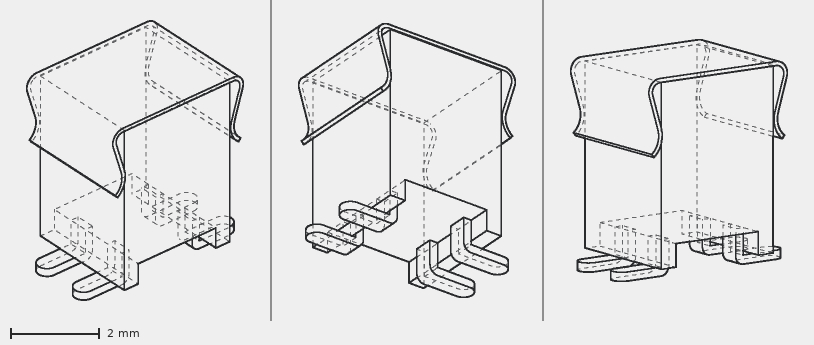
import cadquery as cq
import math

OVERALL_LENGTH = 4.6
OVERALL_HEIGHT = 4.7

CLIP_WIDTH = 3.0
SHEET = 0.1
SHOULDER_RADIUS = 0.3
SHOULDER_Y = 1.62
CONTACT_RADIUS = 0.6
CONTACT_Z = 3.38
LIP_ANGLE = math.radians(52)

HOUSING_WIDTH = 2.938
HOUSING_LENGTH = 3.1
HOUSING_BOTTOM = 0.305
HOUSING_TOP = OVERALL_HEIGHT - SHEET
CHANNEL_LENGTH = 2.285
CHANNEL_CEILING = 0.845

LEAD_WIDTH = 0.5
LEAD_THICKNESS = 0.21
LEAD_PITCH = 1.275
LEAD_BEND_RADIUS = 0.21


def make_housing():
    """Block with a channel along X that leaves a foot rail on each Y side."""
    height = HOUSING_TOP - HOUSING_BOTTOM
    block = (
        cq.Workplane("XY", origin=(0, 0, HOUSING_BOTTOM))
        .box(HOUSING_WIDTH, HOUSING_LENGTH, height, centered=(True, True, False))
    )
    channel = (
        cq.Workplane("XY", origin=(0, 0, HOUSING_BOTTOM))
        .box(HOUSING_WIDTH, CHANNEL_LENGTH, CHANNEL_CEILING - HOUSING_BOTTOM, centered=(True, True, False))
    )
    return block.cut(channel)


def polar(center, radius, angle):
    """Point in the YZ plane at a distance and an angle (from +Y) around a centre."""
    return (center[0] + radius * math.cos(angle), center[1] + radius * math.sin(angle))


def make_clip():
    """Flat top with a springy arm on each Y side: shoulder bend, slanted arm, curled lip."""
    shoulder = (SHOULDER_Y, OVERALL_HEIGHT - SHOULDER_RADIUS)
    curl = (HOUSING_LENGTH / 2 + CONTACT_RADIUS, CONTACT_Z)
    shoulder_inner = SHOULDER_RADIUS - SHEET
    curl_inner = CONTACT_RADIUS - SHEET

    run = curl[0] - shoulder[0]
    drop = shoulder[1] - curl[1]
    lean = math.atan2(drop, run) - math.acos((SHOULDER_RADIUS + curl_inner) / math.hypot(run, drop))

    shoulder_end = -lean
    shoulder_middle = (math.pi / 2 + shoulder_end) / 2
    curl_start = math.pi - lean
    curl_end = math.pi + LIP_ANGLE
    curl_middle = (curl_start + curl_end) / 2

    half = (
        cq.Workplane("YZ")
        .moveTo(0, OVERALL_HEIGHT)
        .lineTo(SHOULDER_Y, OVERALL_HEIGHT)
        .threePointArc(
            polar(shoulder, SHOULDER_RADIUS, shoulder_middle),
            polar(shoulder, SHOULDER_RADIUS, shoulder_end),
        )
        .lineTo(*polar(curl, curl_inner, curl_start))
        .threePointArc(polar(curl, curl_inner, curl_middle), polar(curl, curl_inner, curl_end))
        .lineTo(*polar(curl, CONTACT_RADIUS, curl_end))
        .threePointArc(polar(curl, CONTACT_RADIUS, curl_middle), polar(curl, CONTACT_RADIUS, curl_start))
        .lineTo(*polar(shoulder, shoulder_inner, shoulder_end))
        .threePointArc(
            polar(shoulder, shoulder_inner, shoulder_middle),
            (SHOULDER_Y, HOUSING_TOP),
        )
        .lineTo(0, HOUSING_TOP)
        .close()
        .extrude(CLIP_WIDTH / 2, both=True)
    )
    return half.union(half.mirror("XZ")).clean()


def make_lead(x, side):
    """L-shaped lead on one channel wall; side is +1 or -1 for the Y direction of its foot."""
    tip = OVERALL_LENGTH / 2
    wall = CHANNEL_LENGTH / 2
    heel = wall - LEAD_THICKNESS
    lead = (
        cq.Workplane("YZ")
        .moveTo(tip, 0)
        .lineTo(heel, 0)
        .lineTo(heel, CHANNEL_CEILING)
        .lineTo(wall, CHANNEL_CEILING)
        .lineTo(wall, LEAD_THICKNESS)
        .lineTo(tip, LEAD_THICKNESS)
        .close()
        .extrude(LEAD_WIDTH / 2, both=True)
    )
    lead = lead.edges("|X").edges("<Y and <Z").fillet(LEAD_BEND_RADIUS)

    round_start = tip - LEAD_WIDTH / 2
    plan = (
        cq.Workplane("XY")
        .moveTo(-LEAD_WIDTH / 2, heel)
        .lineTo(LEAD_WIDTH / 2, heel)
        .lineTo(LEAD_WIDTH / 2, round_start)
        .threePointArc((0, tip), (-LEAD_WIDTH / 2, round_start))
        .close()
        .extrude(CHANNEL_CEILING)
    )
    lead = lead.intersect(plan)
    if side < 0:
        lead = lead.mirror("XZ")
    return lead.translate((x, 0, 0))


housing = make_housing()
clip = make_clip()
leads = [
    make_lead(x, side)
    for x in (-LEAD_PITCH / 2, LEAD_PITCH / 2)
    for side in (-1, 1)
]

result = cq.Compound.makeCompound([housing.val(), clip.val(), *[lead.val() for lead in leads]])